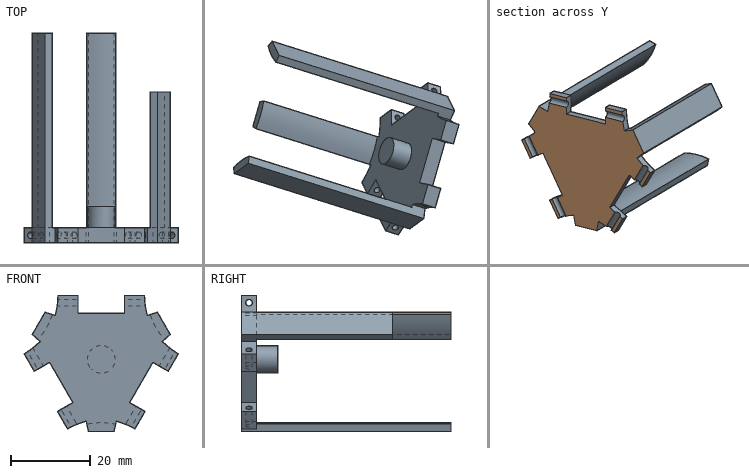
import cadquery as cq
import math


sector_count = 3
sector_angle = 360 / sector_count

plate_thickness = 3.88
side_distance = 11.7
side_half_width = 5.85

lug_width = 5.12
lug_tip_distance = 16.18
lug_flank_radius = 20.0
pin_hole_diameter = 1.6
pin_hole_inset = 1.85

total_depth = 53.02
short_finger_length = 38.15
finger_lengths = [total_depth, short_finger_length, total_depth]
finger_outer_distance = 18.27
finger_outer_half_width = 3.25
finger_flank_angle = 12.4
finger_flank_height = 1.9
finger_crown = 0.4
notch_depth = 2.63

boss_diameter = 7.0
boss_height = 5.37

lug_outer_half_width = side_half_width + lug_width


def turned_point(point, degrees):
    """Turn an (x, z) point about the Y axis, from +X towards +Z."""
    x, z = point
    angle = math.radians(degrees)
    return (
        x * math.cos(angle) - z * math.sin(angle),
        x * math.sin(angle) + z * math.cos(angle),
    )


def turned_solid(solid, degrees):
    """Turn a solid about the Y axis, from +X towards +Z."""
    return solid.rotate((0, 0, 0), (0, 1, 0), -degrees)


def back_face_sketch():
    """Workplane on the plate's back face with local axes X and Z; its normal is -Y."""
    return cq.Workplane("XZ")


def finger_flank_point(height):
    """Point on the right-hand side face of the lower finger, a height above its outer face."""
    spread = height * math.tan(math.radians(finger_flank_angle))
    return (finger_outer_half_width + spread, height - finger_outer_distance)


def mirrored(point):
    """Mirror an (x, z) point across the Z axis."""
    return (-point[0], point[1])


def plate():
    lug_tip = (lug_outer_half_width, lug_tip_distance)
    lug_inner_tip = (side_half_width, lug_tip_distance)
    side_end = (side_half_width, side_distance)
    right_notch = finger_flank_point(notch_depth)
    right_corner = finger_flank_point(0)
    left_notch = mirrored(right_notch)
    left_corner = mirrored(right_corner)

    side_start_notch = turned_point(right_notch, sector_angle)
    side_end_notch = turned_point(left_notch, -sector_angle)
    next_finger = [turned_point(point, -sector_angle) for point in (left_corner, right_corner, right_notch)]
    lug_and_side = [
        lug_inner_tip,
        side_end,
        mirrored(side_end),
        mirrored(lug_inner_tip),
        mirrored(lug_tip),
    ]

    outline = back_face_sketch().moveTo(*side_start_notch)
    for sector in range(sector_count):
        turn = sector * sector_angle
        outline = outline.radiusArc(turned_point(lug_tip, turn), lug_flank_radius)
        for point in lug_and_side:
            outline = outline.lineTo(*turned_point(point, turn))
        outline = outline.radiusArc(turned_point(side_end_notch, turn), lug_flank_radius)
        for point in next_finger:
            outline = outline.lineTo(*turned_point(point, turn))
    return outline.close().extrude(-plate_thickness)


def finger(length):
    """Lower finger: flat outside, spreading sides and a convex inner face."""
    outer_corner = finger_flank_point(0)
    inner_edge = finger_flank_point(finger_flank_height)
    crown_top = (0, inner_edge[1] + finger_crown)
    return (
        back_face_sketch()
        .moveTo(*mirrored(outer_corner))
        .lineTo(*outer_corner)
        .lineTo(*inner_edge)
        .threePointArc(crown_top, mirrored(inner_edge))
        .close()
        .extrude(-length)
    )


def boss():
    return back_face_sketch().circle(boss_diameter / 2).extrude(-(plate_thickness + boss_height))


def pin_hole():
    """Hole along X through both lugs of the upper side."""
    return (
        cq.Workplane("YZ")
        .center(plate_thickness / 2, lug_tip_distance - pin_hole_inset)
        .circle(pin_hole_diameter / 2)
        .extrude(lug_outer_half_width + lug_width, both=True)
    )


result = plate().union(boss())
for sector, length in enumerate(finger_lengths):
    result = result.union(turned_solid(finger(length), sector * sector_angle))
for sector in range(sector_count):
    result = result.cut(turned_solid(pin_hole(), sector * sector_angle))